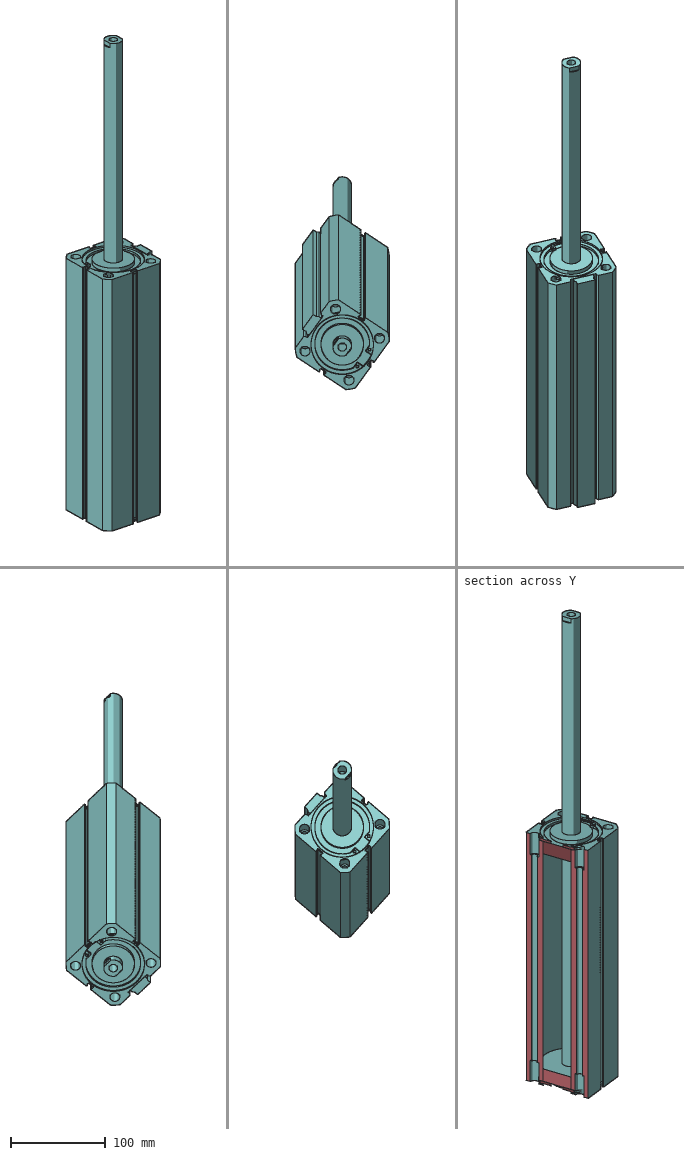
import cadquery as cq
import math


body_width = 77.5
body_length = 296.0
half_width = body_width / 2
corner_circle_diameter = 100.0
bore_diameter = 66.0

slot_mouth_width = 5.5
slot_width = 7.0
slot_depth = 4.0
slot_lip = 1.2

rail_top = 44.25
rail_half_width = 10.0
rail_foot_half_width = 11.5
rail_flare_top = 40.0
rail_flare_bottom = 38.0
rail_end_inset = 0.5
channel_half_width = 14.5
channel_mouth_half_width = 16.0
channel_mouth_depth = 2.0
channel_floor = half_width - slot_depth

bolt_pitch = 56.5
bolt_hole_diameter = 6.8
counterbore_diameter = 10.5
counterbore_depth = 25.0

ring_depth = 2.0
ring_thickness = 2.5
ring_outer_diameter = 70.0
ring_inner_diameter = 58.0
ring_gap_half_width = 7.7
lug_inner_edge = 24.7
lug_hole_diameter = 3.0
lug_hole_x = 11.3
lug_hole_y = 27.3

cover_boss_diameter = 45.0
cover_recess = ring_depth + ring_thickness
cover_length = 20.0

rod_diameter = 20.0
rod_top_reach = 258.0
rod_bottom_reach = 8.0
rod_length = rod_bottom_reach + body_length + rod_top_reach
flat_width = 17.0
flat_length = 5.0
rod_hole_diameter = 9.0
rod_hole_depth = 25.0
drill_tip_angle = 118.0


def cylinder(diameter, height, base=0.0):
    return cq.Workplane("XY").workplane(offset=base).circle(diameter / 2).extrude(height)


def block(width_x, width_y, height, center_x, center_y, base=0.0):
    plane = cq.Workplane("XY").workplane(offset=base)
    return plane.center(center_x, center_y).rect(width_x, width_y).extrude(height)


def flip_end(shape):
    """Mirror a part from the top end of the body to the bottom end."""
    return shape.mirror("XY", (0, 0, body_length / 2))


def make_rail():
    right_side = [
        (rail_foot_half_width, channel_floor),
        (rail_foot_half_width, rail_flare_bottom),
        (rail_half_width, rail_flare_top),
        (rail_half_width, rail_top),
    ]
    left_side = [(-x, y) for x, y in reversed(right_side)]
    plane = cq.Workplane("XY").workplane(offset=rail_end_inset)
    return plane.polyline(right_side + left_side).close().extrude(body_length - 2 * rail_end_inset)


def make_channel():
    right_side = [
        (channel_half_width, channel_floor),
        (channel_half_width, half_width - channel_mouth_depth),
        (channel_mouth_half_width, half_width),
    ]
    left_side = [(-x, y) for x, y in reversed(right_side)]
    return cq.Workplane("XY").polyline(right_side + left_side).close().extrude(body_length)


def make_slot():
    """Undercut slot in the -Y side: a narrow mouth opening into a wider inside."""
    inside_depth = slot_depth - slot_lip
    inside_center = -(half_width - slot_depth + inside_depth / 2)
    mouth_center = -(half_width - slot_depth / 2)
    inside = block(slot_width, inside_depth, body_length, 0, inside_center)
    return inside.union(block(slot_mouth_width, slot_depth, body_length, 0, mouth_center))


def make_body():
    body = block(body_width, body_width, body_length, 0, 0)
    body = body.intersect(cylinder(corner_circle_diameter, body_length))

    for angle in (-90, 0, 90):
        body = body.cut(make_slot().rotate((0, 0, 0), (0, 0, 1), angle))
    body = body.cut(make_channel()).union(make_rail())

    body = body.cut(cylinder(bore_diameter, body_length))
    groove_bases = (ring_depth, body_length - ring_depth - ring_thickness)
    for groove_base in groove_bases:
        body = body.cut(cylinder(ring_outer_diameter, ring_thickness, groove_base))

    for side_x in (-1, 1):
        for side_y in (-1, 1):
            center = (side_x * bolt_pitch / 2, side_y * bolt_pitch / 2, 0)
            counterbore = cylinder(counterbore_diameter, counterbore_depth)
            body = body.cut(cylinder(bolt_hole_diameter, body_length).translate(center))
            body = body.cut(counterbore.translate(center))
            body = body.cut(flip_end(counterbore).translate(center))
    return body


def make_retaining_ring():
    """Ring at the top end: open towards -Y, with a drilled lug at each side of the gap."""
    base = body_length - ring_depth - ring_thickness
    ring_radius = ring_outer_diameter / 2
    disc = cylinder(ring_outer_diameter, ring_thickness, base)
    band = disc.cut(cylinder(ring_inner_diameter, ring_thickness, base))
    lug_height = ring_radius - lug_inner_edge
    lug_center_y = -(ring_radius + lug_inner_edge) / 2
    lugs = block(2 * ring_radius, lug_height, ring_thickness, 0, lug_center_y, base).intersect(disc)
    gap = block(2 * ring_gap_half_width, ring_radius, ring_thickness, 0, -ring_radius / 2, base)
    ring = band.union(lugs).cut(gap)
    for side in (-1, 1):
        hole = cylinder(lug_hole_diameter, ring_thickness, base)
        ring = ring.cut(hole.translate((side * lug_hole_x, -lug_hole_y, 0)))
    return ring


def make_cover():
    """Cover at the top end: a disc behind the ring with a boss flush with the body end."""
    seat = body_length - cover_recess
    disc_length = cover_length - cover_recess
    cover = cylinder(bore_diameter, disc_length, seat - disc_length)
    cover = cover.union(cylinder(cover_boss_diameter, cover_recess, seat))
    return cover.cut(cylinder(rod_diameter, body_length))


def make_rod():
    rod = cylinder(rod_diameter, rod_length, -rod_bottom_reach)

    flat_depth = (rod_diameter - flat_width) / 2
    flat_center = (flat_width + flat_depth) / 2
    top_flat_base = body_length + rod_top_reach - flat_length
    for base in (-rod_bottom_reach, top_flat_base):
        for side in (-1, 1):
            rod = rod.cut(block(rod_diameter, flat_depth, flat_length, 0, side * flat_center, base))

    hole_radius = rod_hole_diameter / 2
    tip_length = hole_radius / math.tan(math.radians(drill_tip_angle / 2))
    profile = [(0, 0), (hole_radius, 0), (hole_radius, rod_hole_depth), (0, rod_hole_depth + tip_length)]
    drill = cq.Workplane("XZ").polyline(profile).close().revolve(360, (0, 0, 0), (0, 1, 0))
    bottom_hole = drill.translate((0, 0, -rod_bottom_reach))
    top_hole = drill.mirror("XY").translate((0, 0, body_length + rod_top_reach))
    return rod.cut(bottom_hole).cut(top_hole)


body = make_body()
rod = make_rod()
top_cover = make_cover()
bottom_cover = flip_end(top_cover)
top_ring = make_retaining_ring()
bottom_ring = flip_end(top_ring)

result = cq.Compound.makeCompound([
    body.val(),
    rod.val(),
    top_cover.val(),
    bottom_cover.val(),
    top_ring.val(),
    bottom_ring.val(),
])